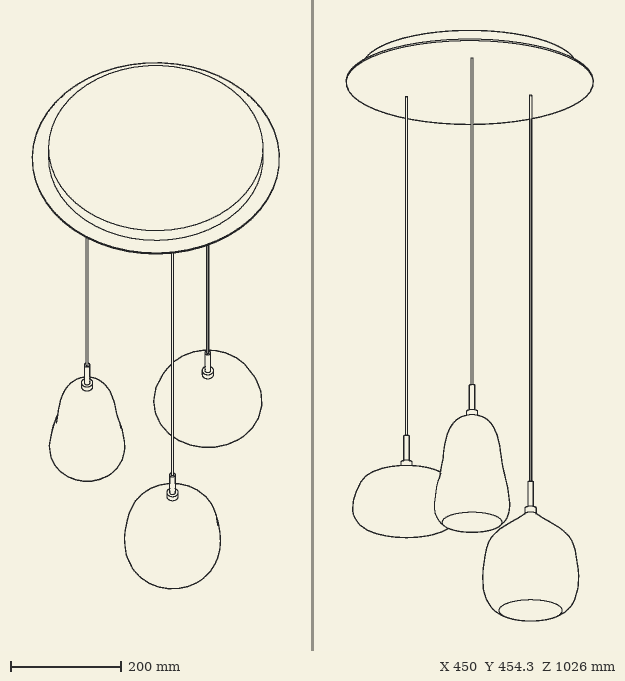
import cadquery as cq
import math


total_height = 1026.0
drum_radius = 195.0
drum_height = 28.0
plate_radius = 225.0
plate_thickness = 3.0
drum_bottom = total_height - drum_height
plate_bottom = drum_bottom - plate_thickness

hanger_circle_radius = 130.0
hanger_spacing = 120.0
rear_angle = 90.0
left_angle = rear_angle + hanger_spacing
right_angle = left_angle + hanger_spacing

cord_radius = 2.0
stem_radius = 5.0
stem_height = 50.0
cap_radius = 10.0
cap_height = 11.0
free_cord_gap = 5.0

left_shade_top = 302.0
rear_shade_top = 273.0
right_shade_top = 187.0

left_shade_outline = [(30.0, 8.0), (41.0, 24.0), (55.0, 92.0), (69.0, 162.0), (67.0, 186.0), (54.0, 203.0)]
rear_shade_outline = [(47.0, 14.0), (81.0, 28.0), (90.0, 45.0), (99.0, 80.0), (93.0, 95.0), (74.0, 108.0)]
right_shade_outline = [(49.0, 29.0), (77.0, 57.0), (83.0, 82.0), (84.0, 154.0), (77.0, 170.0), (57.0, right_shade_top)]


def disc(radius, height, bottom):
    return cq.Workplane("XY").workplane(offset=bottom).circle(radius).extrude(height)


def place_on_hanger_circle(body, angle):
    """Move a body from the canopy axis to its place on the hanger circle."""
    x = hanger_circle_radius * math.cos(math.radians(angle))
    y = hanger_circle_radius * math.sin(math.radians(angle))
    return body.translate((x, y, 0))


def make_hanger(shade_top, cord_top, angle):
    """Cap, stem and cord stacked on one axis."""
    stem_bottom = shade_top + cap_height
    cord_bottom = stem_bottom + stem_height
    cap = disc(cap_radius, cap_height, shade_top)
    stem = disc(stem_radius, stem_height, stem_bottom)
    cord = disc(cord_radius, cord_top - cord_bottom, cord_bottom)
    return place_on_hanger_circle(cap.union(stem).union(cord), angle)


def make_shade(outline, shade_top, angle):
    """Solid turned shade with a smooth side, a flat seat for the cap and a flat underside."""
    side = [(radius, shade_top - depth) for radius, depth in outline]
    bottom = side[-1][1]
    profile = (
        cq.Workplane("XZ")
        .moveTo(0, shade_top)
        .lineTo(cap_radius, shade_top)
        .spline(side, includeCurrent=True)
        .lineTo(0, bottom)
        .close()
    )
    shade = profile.revolve(360, (0, 0, 0), (0, 1, 0))
    return place_on_hanger_circle(shade, angle)


drum = disc(drum_radius, drum_height, drum_bottom)

plate_with_hangers = disc(plate_radius, plate_thickness, plate_bottom)
for shade_top, angle in [(left_shade_top, left_angle), (right_shade_top, right_angle)]:
    plate_with_hangers = plate_with_hangers.union(make_hanger(shade_top, plate_bottom, angle))

free_hanger = make_hanger(rear_shade_top, plate_bottom - free_cord_gap, rear_angle)

left_shade = make_shade(left_shade_outline, left_shade_top, left_angle)
rear_shade = make_shade(rear_shade_outline, rear_shade_top, rear_angle)
right_shade = make_shade(right_shade_outline, right_shade_top, right_angle)

result = cq.Compound.makeCompound([
    drum.val(),
    plate_with_hangers.val(),
    free_hanger.val(),
    left_shade.val(),
    rear_shade.val(),
    right_shade.val(),
])